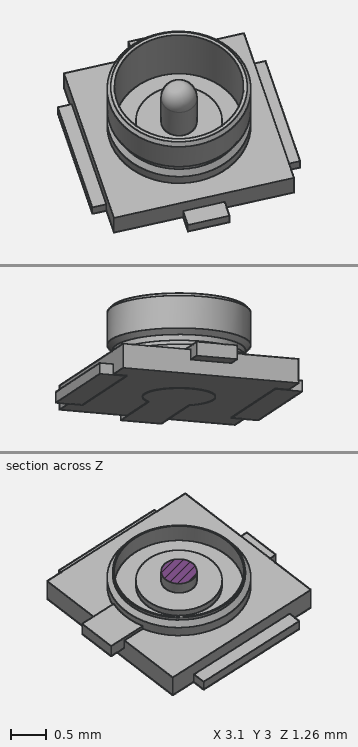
import cadquery as cq

length_x = 3.1
length_y = 3.0

base_side = 2.6
base_bottom = 0.01
base_top = 0.355

leg_width = 1.8
contact_height = 0.155
leg_length = 0.4

tab_width = 0.6
ground_tab_bottom = 0.21
ground_tab_top = 0.41
contact_pad_radius = 0.508

shell_radius = 1.0
bore_radius = 0.9
groove_radius = 0.927
shell_top = 1.26
rim_chamfer = 0.05
groove_lower_edge = 0.51
groove_upper_edge = 0.745
groove_slope = shell_radius - groove_radius

insulator_radius = 0.6
insulator_top = 0.455
pin_radius = 0.25
pin_tip = shell_top


def block(x_range, y_range, z_range):
    """Box filling the given ranges along X, Y and Z."""
    sizes = [high - low for low, high in (x_range, y_range, z_range)]
    corner = (x_range[0], y_range[0], z_range[0])
    return cq.Workplane("XY").box(*sizes, centered=False).translate(corner)


def disc(radius, bottom, top):
    """Upright cylinder on the Z axis."""
    return cq.Workplane("XY").workplane(offset=bottom).circle(radius).extrude(top - bottom)


def make_base():
    half = base_side / 2
    return block((-half, half), (-half, half), (base_bottom, base_top))


def make_legs():
    outer_y = length_y / 2
    x_range = (-leg_width / 2, leg_width / 2)
    leg = block(x_range, (-outer_y, leg_length - outer_y), (0, contact_height))
    return leg.union(leg.mirror("XZ"))


def make_ground_tab():
    y_range = (-tab_width / 2, tab_width / 2)
    inner_x = -bore_radius
    return block((-length_x / 2, inner_x), y_range, (ground_tab_bottom, ground_tab_top))


def make_signal_contact():
    y_range = (-tab_width / 2, tab_width / 2)
    tab = block((0, length_x / 2), y_range, (0, contact_height))
    return tab.union(disc(contact_pad_radius, 0, contact_height))


def make_shell():
    """Revolved wall with a chamfered rim and a V-sided groove."""
    profile = [
        (bore_radius, base_bottom),
        (shell_radius, base_bottom),
        (shell_radius, groove_lower_edge),
        (groove_radius, groove_lower_edge + groove_slope),
        (groove_radius, groove_upper_edge - groove_slope),
        (shell_radius, groove_upper_edge),
        (shell_radius, shell_top - rim_chamfer),
        (shell_radius - rim_chamfer, shell_top),
        (bore_radius, shell_top),
    ]
    return cq.Workplane("XZ").polyline(profile).close().revolve(360, (0, 0), (0, 1))


def make_pin():
    dome_center = pin_tip - pin_radius
    shaft = disc(pin_radius, base_bottom, dome_center)
    dome = cq.Workplane("XY").sphere(pin_radius).translate((0, 0, dome_center))
    return shaft.union(dome)


result = (
    make_base()
    .union(make_legs())
    .union(make_ground_tab())
    .union(make_signal_contact())
    .union(make_shell())
    .union(disc(insulator_radius, base_bottom, insulator_top))
    .union(make_pin())
)